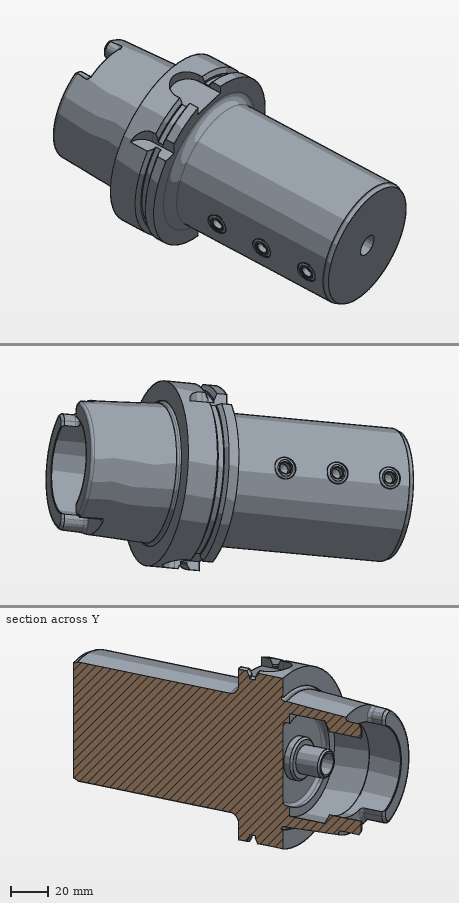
import cadquery as cq
import math


shank_length = 50.0
taper_base_diameter = 75.6
taper_base = -2.2
taper_slope = 0.05
tip_rounding = 1.7
neck_diameter = 75.3
neck_start = -1.7
neck_end = -0.5
face_relief_radius = 39.4

flange_diameter = 100.0
flange_length = 29.0
groove_center = 20.0
groove_mouth_width = 6.8
groove_floor_width = 3.5
groove_flank_angle = 60.0
groove_floor_diameter = 92.0

body_diameter = 72.0
body_end = 135.0
body_fillet = 5.0
end_edge_length = 0.5
end_edge_drop = 0.3
end_bevel_length = 2.3
end_bevel_drop = 0.9

bore_diameter = 53.0
bore_entry_diameter = 53.8
bore_lip_length = 20.5
chamber_diameter = 63.0
chamber_shoulder_angle = 30.0
chamber_end = -4.0
bore_floor = 0.0
bore_floor_fillet = 1.8

collar_diameter = 24.0
collar_length = 5.0
collar_chamfer = 1.2
tube_diameter = 16.0
tube_tip = -20.0
tube_tip_chamfer = 1.0
coolant_diameter = 12.0

drive_slot_width = 20.0
drive_slot_depth_upper = 9.7
drive_slot_depth_lower = 14.6
drive_slot_ledge = 32.2
drive_slot_shoulder_radius = 5.0
drive_slot_floor_fillet = 1.75
drive_slot_chamfer = 1.5
chamfer_angle = 45.0
drive_slot_root = 15.0
drive_slot_outer_half_width = 20.0
drive_slot_top = 42.0

cutter_radius = 10.0
recess_start = 4.7
flange_slot_floor = 44.0
notch_edge = 31.5

screw_positions = (61.0, 91.0, 121.0)
screw_diameter = 12.0
screw_face_diameter = 8.5
screw_face_radius = 35.9
screw_bevel_angle = 60.0
socket_diameter = 6.0
socket_mouth_diameter = 6.93
socket_depth = 4.0
socket_tip_angle = 118.0

flange_radius = flange_diameter / 2
body_radius = body_diameter / 2


def outer_body():
    """Shank, flange and body as one solid of revolution."""
    taper_base_radius = taper_base_diameter / 2
    taper_length = taper_base + shank_length - tip_rounding
    tip_radius = taper_base_radius - taper_slope * taper_length
    neck_radius = neck_diameter / 2
    relief_rounding = face_relief_radius - neck_radius
    face_relief_depth = neck_end + relief_rounding
    groove_flank_depth = (
        (groove_mouth_width - groove_floor_width) / 2 * math.tan(math.radians(groove_flank_angle))
    )
    flank_radius = flange_radius - groove_flank_depth
    groove_floor_radius = groove_floor_diameter / 2
    mouth = groove_mouth_width / 2
    floor = groove_floor_width / 2
    rounding_shift = tip_rounding * math.sqrt(0.5)
    fillet_shift = body_fillet * (1 - math.sqrt(0.5))
    relief_shift = relief_rounding * (1 - math.sqrt(0.5))
    profile = (
        cq.Workplane("XY")
        .moveTo(-shank_length, 0)
        .lineTo(-shank_length, tip_radius - tip_rounding)
        .threePointArc(
            (
                -shank_length + tip_rounding - rounding_shift,
                tip_radius - tip_rounding + rounding_shift,
            ),
            (-shank_length + tip_rounding, tip_radius),
        )
        .lineTo(taper_base, taper_base_radius)
        .lineTo(neck_start, neck_radius)
        .lineTo(neck_end, neck_radius)
        .threePointArc(
            (face_relief_depth - relief_shift, neck_radius + relief_shift),
            (face_relief_depth, face_relief_radius),
        )
        .lineTo(0, face_relief_radius)
        .lineTo(0, flange_radius)
        .lineTo(groove_center - mouth, flange_radius)
        .lineTo(groove_center - floor, flank_radius)
        .lineTo(groove_center - floor, groove_floor_radius)
        .lineTo(groove_center + floor, groove_floor_radius)
        .lineTo(groove_center + floor, flank_radius)
        .lineTo(groove_center + mouth, flange_radius)
        .lineTo(flange_length, flange_radius)
        .lineTo(flange_length, body_radius + body_fillet)
        .threePointArc(
            (flange_length + fillet_shift, body_radius + fillet_shift),
            (flange_length + body_fillet, body_radius),
        )
        .lineTo(body_end - end_bevel_length - end_edge_length, body_radius)
        .lineTo(body_end - end_bevel_length, body_radius - end_edge_drop)
        .lineTo(body_end, body_radius - end_edge_drop - end_bevel_drop)
        .lineTo(body_end, 0)
        .close()
    )
    return profile.revolve(360, (0, 0, 0), (1, 0, 0))


def clamping_bore():
    """Stepped bore with the wider clamping chamber behind its lip."""
    bore_radius = bore_diameter / 2
    entry_radius = bore_entry_diameter / 2
    chamber_radius = chamber_diameter / 2
    lip_end = -shank_length + bore_lip_length
    shoulder_run = (chamber_radius - bore_radius) * math.tan(math.radians(chamber_shoulder_angle))
    fillet_shift = bore_floor_fillet * math.sqrt(0.5)
    profile = (
        cq.Workplane("XY")
        .moveTo(-shank_length, 0)
        .lineTo(-shank_length, entry_radius)
        .lineTo(-shank_length + entry_radius - bore_radius, bore_radius)
        .lineTo(lip_end, bore_radius)
        .lineTo(lip_end + shoulder_run, chamber_radius)
        .lineTo(chamber_end, chamber_radius)
        .lineTo(chamber_end, bore_radius)
        .lineTo(bore_floor - bore_floor_fillet, bore_radius)
        .threePointArc(
            (
                bore_floor - bore_floor_fillet + fillet_shift,
                bore_radius - bore_floor_fillet + fillet_shift,
            ),
            (bore_floor, bore_radius - bore_floor_fillet),
        )
        .lineTo(bore_floor, 0)
        .close()
    )
    return profile.revolve(360, (0, 0, 0), (1, 0, 0))


def chamfered_stub(diameter, tip_x, chamfer):
    """Cylinder standing on the bore floor with a chamfered free end."""
    return (
        cq.Workplane("YZ", origin=(tip_x, 0, 0))
        .circle(diameter / 2)
        .extrude(bore_floor - tip_x)
        .faces("<X")
        .chamfer(chamfer)
    )


def coolant_tube():
    """Collar and thinner tube standing on the bore floor."""
    collar = chamfered_stub(collar_diameter, bore_floor - collar_length, collar_chamfer)
    return collar.union(chamfered_stub(tube_diameter, tube_tip, tube_tip_chamfer))


def coolant_hole():
    """Axial hole through the whole part."""
    return (
        cq.Workplane("YZ", origin=(-shank_length, 0, 0))
        .circle(coolant_diameter / 2)
        .extrude(shank_length + body_end)
    )


def drive_slot_section(growth):
    """Slot section on the end face, widened by growth: straight walls that round out to ledges."""
    half_width = drive_slot_width / 2 + growth
    radius = drive_slot_shoulder_radius - growth
    ledge = drive_slot_ledge - growth
    outer = drive_slot_outer_half_width + growth
    shift = radius * (1 - math.sqrt(0.5))
    return (
        cq.Workplane("YZ", origin=(-shank_length, 0, 0))
        .moveTo(-half_width, drive_slot_root)
        .lineTo(half_width, drive_slot_root)
        .lineTo(half_width, ledge - radius)
        .threePointArc((half_width + shift, ledge - shift), (half_width + radius, ledge))
        .lineTo(outer, ledge)
        .lineTo(outer, drive_slot_top)
        .lineTo(-outer, drive_slot_top)
        .lineTo(-outer, ledge)
        .lineTo(-half_width - radius, ledge)
        .threePointArc((-half_width - shift, ledge - shift), (-half_width, ledge - radius))
        .close()
    )


def drive_slot(depth):
    """Slot on the +Z side with a filleted floor and a chamfered mouth."""
    slot = drive_slot_section(0).extrude(depth).faces(">X").edges().fillet(drive_slot_floor_fillet)
    mouth = drive_slot_section(drive_slot_chamfer).extrude(drive_slot_chamfer, taper=chamfer_angle)
    return slot.union(mouth)


def milled_recess(center_y, outer_y, floor_z):
    """Round-ended recess open at the back of the flange, from floor_z upward."""
    center_x = recess_start + cutter_radius
    height = flange_radius - floor_z
    round_end = (
        cq.Workplane("XY", origin=(center_x, center_y, floor_z)).circle(cutter_radius).extrude(height)
    )
    width = center_y + cutter_radius - outer_y
    straight = cq.Workplane("XY", origin=(center_x, outer_y, floor_z)).box(
        flange_length - center_x, width, height, centered=False
    )
    return round_end.union(straight)


def flange_slot():
    """Flat-floored drive slot on the +Z side of the flange."""
    return milled_recess(0, -cutter_radius, flange_slot_floor)


def orientation_notch():
    """Square-cornered notch in the -Y, +Z quarter of the flange."""
    return milled_recess(-notch_edge - cutter_radius, -flange_radius, notch_edge)


def screw_cut(x):
    """Gap around the bevelled screw end plus its drilled socket, cut from the -Y side."""
    rim_radius = screw_diameter / 2
    face_radius = screw_face_diameter / 2
    mouth_radius = socket_mouth_diameter / 2
    socket_radius = socket_diameter / 2
    bevel_length = (rim_radius - face_radius) / math.tan(math.radians(screw_bevel_angle))
    tip_length = socket_radius / math.tan(math.radians(socket_tip_angle / 2))
    face_y = -screw_face_radius
    profile = (
        cq.Workplane("XY", origin=(x, 0, 0))
        .moveTo(0, -body_radius)
        .lineTo(rim_radius, -body_radius)
        .lineTo(rim_radius, face_y + bevel_length)
        .lineTo(face_radius, face_y)
        .lineTo(mouth_radius, face_y)
        .lineTo(socket_radius, face_y + mouth_radius - socket_radius)
        .lineTo(socket_radius, face_y + socket_depth)
        .lineTo(0, face_y + socket_depth + tip_length)
        .close()
    )
    return profile.revolve(360, (0, 0, 0), (0, 1, 0))


def turned_over(shape):
    """The same shape on the opposite side of the X axis."""
    return shape.rotate((0, 0, 0), (1, 0, 0), 180)


result = outer_body().cut(clamping_bore()).union(coolant_tube()).cut(coolant_hole())
result = result.cut(drive_slot(drive_slot_depth_upper))
result = result.cut(turned_over(drive_slot(drive_slot_depth_lower)))
result = result.cut(flange_slot()).cut(turned_over(flange_slot()))
result = result.cut(orientation_notch())
for screw_x in screw_positions:
    result = result.cut(screw_cut(screw_x))